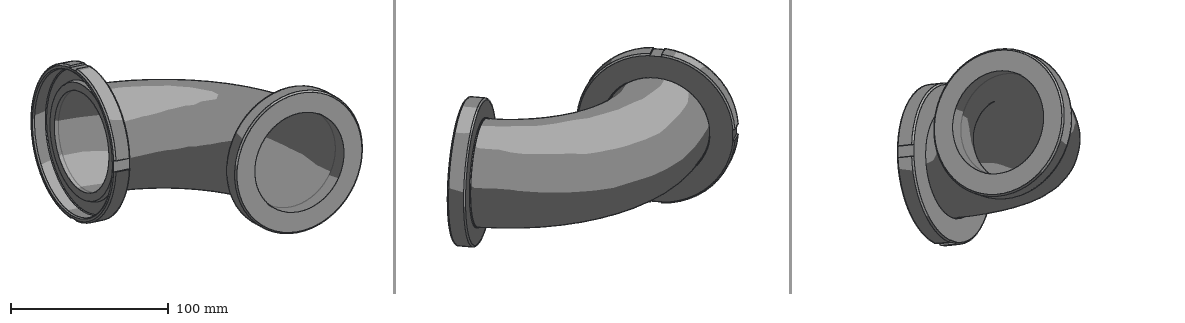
import cadquery as cq

BEND_RADIUS = 94.6
PIPE_RADIUS = 34.5
BORE_RADIUS = 33.1

FLANGE_RADIUS = 47.5
OUTLET_END = 105.0
FLANGE_THICKNESS = 11.9
FLANGE_CHAMFER = 1.1
COLLAR_RADIUS = 35.2
COLLAR_HEIGHT = 0.8

NUT_RADIUS = 51.5
NUT_THICKNESS = 12.0
NUT_END = 104.5
NUT_CHAMFER = 1.1
NUT_RECESS_RADIUS = 48.0
NUT_HOLE_RADIUS = 35.2
RECESS_DEPTH = 9.9
RECESS_CHAMFER = 0.6
MOUTH_BEVEL_DEPTH = 1.3
SLOT_WIDTH = 7.5
SLOT_FLOOR_RADIUS = 50.0
SLOT_COUNT = 4

BOSS_BASE_RADIUS = 39.4
BOSS_TIP_RADIUS = 38.5
BOSS_HEIGHT = 3.0

NUT_BACK = NUT_END - NUT_THICKNESS
NUT_FLOOR = NUT_END - RECESS_DEPTH
BOSS_FACE = NUT_FLOOR + BOSS_HEIGHT
FLANGE_BACK = OUTLET_END - FLANGE_THICKNESS


def inlet_disc(radius, start, end):
    """Cylinder on the inlet axis; start and end are distances from the origin."""
    return cq.Workplane("XZ").workplane(offset=start).circle(radius).extrude(end - start)


def outlet_disc(radius, start, end):
    """Cylinder on the outlet axis; start and end are distances from the origin."""
    return cq.Workplane("YZ").workplane(offset=start).circle(radius).extrude(end - start)


def inlet_cone(start_radius, end_radius, start, end):
    """Truncated cone on the inlet axis."""
    return (
        cq.Workplane("XZ")
        .workplane(offset=start)
        .circle(start_radius)
        .workplane(offset=end - start)
        .circle(end_radius)
        .loft()
    )


def bend(radius):
    """Quarter torus from the inlet axis to the outlet axis."""
    return (
        cq.Workplane("XZ", origin=(0, -BEND_RADIUS, 0))
        .circle(radius)
        .revolve(90, (BEND_RADIUS, 0, 0), (BEND_RADIUS, -1, 0))
    )


def make_outlet_flange():
    flange = outlet_disc(FLANGE_RADIUS, FLANGE_BACK, OUTLET_END)
    flange = flange.edges().chamfer(FLANGE_CHAMFER)
    collar = outlet_disc(COLLAR_RADIUS, FLANGE_BACK - COLLAR_HEIGHT, OUTLET_END)
    return flange.union(collar)


def make_boss():
    neck = inlet_disc(PIPE_RADIUS, BEND_RADIUS, BOSS_FACE)
    return inlet_cone(BOSS_BASE_RADIUS, BOSS_TIP_RADIUS, NUT_FLOOR, BOSS_FACE).union(neck)


def make_elbow():
    body = bend(PIPE_RADIUS).union(make_outlet_flange()).union(make_boss())
    body = body.cut(bend(BORE_RADIUS))
    body = body.cut(inlet_disc(BORE_RADIUS, BEND_RADIUS, BOSS_FACE))
    return body.cut(outlet_disc(BORE_RADIUS, BEND_RADIUS, OUTLET_END))


def cut_wrench_slots(nut):
    slot = (
        cq.Workplane("XY")
        .box(SLOT_WIDTH, NUT_THICKNESS, NUT_RADIUS, centered=(True, True, False))
        .translate((0, -(NUT_BACK + NUT_END) / 2, SLOT_FLOOR_RADIUS))
    )
    for index in range(SLOT_COUNT):
        nut = nut.cut(slot.rotate((0, 0, 0), (0, 1, 0), index * 360 / SLOT_COUNT))
    return nut


def make_nut():
    nut = inlet_disc(NUT_RADIUS, NUT_BACK, NUT_END).edges().chamfer(NUT_CHAMFER)
    hole = inlet_disc(NUT_HOLE_RADIUS, NUT_BACK, NUT_END)
    recess = inlet_disc(NUT_RECESS_RADIUS, NUT_FLOOR, NUT_END).faces(">Y").edges().chamfer(RECESS_CHAMFER)
    mouth = inlet_cone(
        NUT_RECESS_RADIUS, NUT_RECESS_RADIUS + RECESS_CHAMFER, NUT_END - MOUTH_BEVEL_DEPTH, NUT_END
    )
    return cut_wrench_slots(nut.cut(hole).cut(recess).cut(mouth))


elbow = make_elbow()
union_nut = make_nut()
result = cq.Compound.makeCompound([elbow.val(), union_nut.val()])